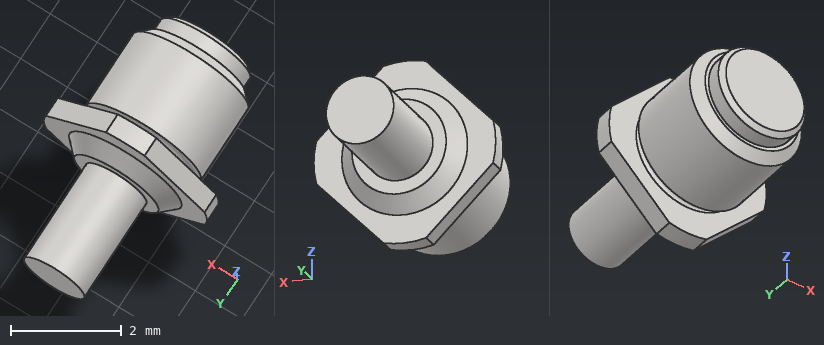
import cadquery as cq

tip_chamfer = 0.1
tip_end = 0.4
body_chamfer = 0.2
body_end = 2.195
groove_width = 0.205
flange_thickness = 0.4
cone_length = 0.3
total_length = 5.2

flange_front = body_end + groove_width
flange_back = flange_front + flange_thickness
cone_end = flange_back + cone_length

tip_radius = 0.965
body_radius = 1.245
groove_radius = 1.07
groove_back_radius = 1.15
cone_small_radius = 0.905
cone_large_radius = cone_small_radius + cone_length
tail_radius = 0.65

flange_diameter = 3.495
flange_across_flats = 2.985

groove_middle = (body_end + flange_front) / 2
groove_front_radius = groove_radius + groove_width / 2


def turned_body():
    """Revolve the (radius, Y) profile of every round section about the Y axis."""
    profile = (
        cq.Workplane("XY")
        .lineTo(tip_radius - tip_chamfer, 0)
        .lineTo(tip_radius, tip_chamfer)
        .lineTo(tip_radius, tip_end)
        .lineTo(body_radius - body_chamfer, tip_end)
        .lineTo(body_radius, tip_end + body_chamfer)
        .lineTo(body_radius, body_end)
        .lineTo(groove_front_radius, body_end)
        .tangentArcPoint((groove_radius, groove_middle), relative=False)
        .tangentArcPoint((groove_back_radius, flange_front), relative=False)
        .lineTo(cone_large_radius, flange_front)
        .lineTo(cone_large_radius, flange_back)
        .lineTo(cone_small_radius, cone_end)
        .lineTo(tail_radius, cone_end)
        .lineTo(tail_radius, total_length)
        .lineTo(0, total_length)
        .close()
    )
    return profile.revolve(360, (0, 0, 0), (0, 1, 0))


def flange():
    """Disc with four flats facing the diagonals between X and Z."""
    disc = (
        cq.Workplane("XZ", origin=(0, flange_front, 0))
        .circle(flange_diameter / 2)
        .extrude(-flange_thickness)
    )
    square = (
        cq.Workplane("XZ", origin=(0, flange_front, 0))
        .rect(flange_across_flats, flange_across_flats)
        .extrude(-flange_thickness)
        .rotate((0, 0, 0), (0, 1, 0), 45)
    )
    return disc.intersect(square)


body = turned_body().union(flange())
result = body.translate((0, -total_length / 2, 0))